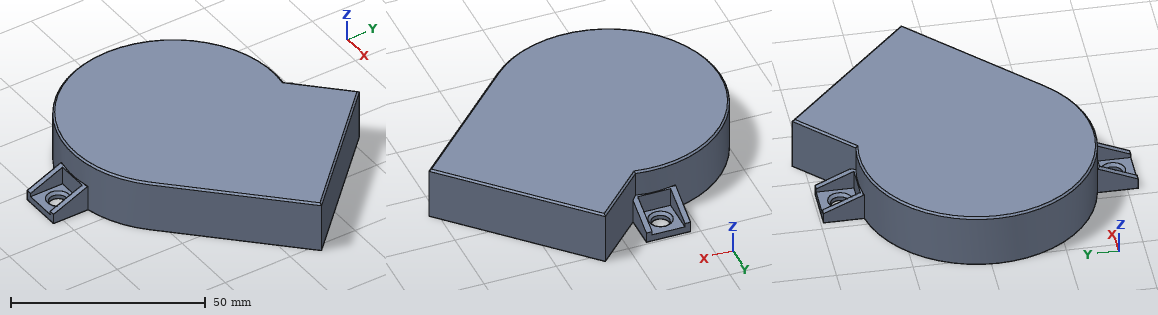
import cadquery as cq
import math

drum_radius = 31.0
housing_height = 15.0
outlet_reach = 45.0
outlet_inner_side = 18.2
outlet_angle = 45
top_chamfer = 0.5

lug_reach = 41.05
lug_width = 12.25
lug_tip_height = 3.0
lug_root_height = 7.5
lug_floor = 2.0
pocket_width = 9.1
slope_start = 30.7
pocket_start = drum_radius + 0.2
root_overlap = 0.85
hole_offset = 35.6
hole_diameter = 5.0
countersink_diameter = 6.5
countersink_angle = 90


def make_housing():
    drum = cq.Workplane("XY").circle(drum_radius).extrude(housing_height)
    outlet = (
        cq.Workplane("XY")
        .moveTo(0, -drum_radius)
        .lineTo(outlet_reach, -drum_radius)
        .lineTo(outlet_reach, outlet_inner_side)
        .lineTo(0, outlet_inner_side)
        .close()
        .extrude(housing_height)
        .rotate((0, 0, 0), (0, 0, 1), outlet_angle)
    )
    return drum.union(outlet).clean().faces(">Z").edges().chamfer(top_chamfer)


def make_lug():
    """Lug on the +Y side: two sloping cheeks around a floor; its root is buried in the drum."""
    half_width = lug_width / 2
    root = math.sqrt(drum_radius**2 - half_width**2) - root_overlap
    return (
        cq.Workplane("YZ")
        .moveTo(root, 0)
        .lineTo(lug_reach, 0)
        .lineTo(lug_reach, lug_tip_height)
        .lineTo(slope_start, lug_root_height)
        .lineTo(root, lug_root_height)
        .close()
        .extrude(half_width, both=True)
    )


def make_lug_cut():
    """Open-ended pocket between the cheeks and the countersunk screw hole in the floor."""
    pocket = cq.Workplane("XY").box(
        pocket_width,
        lug_reach - pocket_start,
        lug_root_height,
        centered=(True, False, False),
    ).translate((0, pocket_start, lug_floor))
    hole = cq.Workplane("XY").center(0, hole_offset).circle(hole_diameter / 2).extrude(lug_floor)
    half_angle = math.radians(countersink_angle / 2)
    countersink_depth = (countersink_diameter - hole_diameter) / 2 / math.tan(half_angle)
    countersink = (
        cq.Workplane("XY", origin=(0, hole_offset, lug_floor))
        .circle(countersink_diameter / 2)
        .extrude(-countersink_depth, taper=countersink_angle / 2)
    )
    return pocket.union(hole).union(countersink)


housing = make_housing()
lug = make_lug().cut(make_lug_cut())

result = housing
for side_angle in (0, 180):
    result = result.union(lug.rotate((0, 0, 0), (0, 0, 1), side_angle))